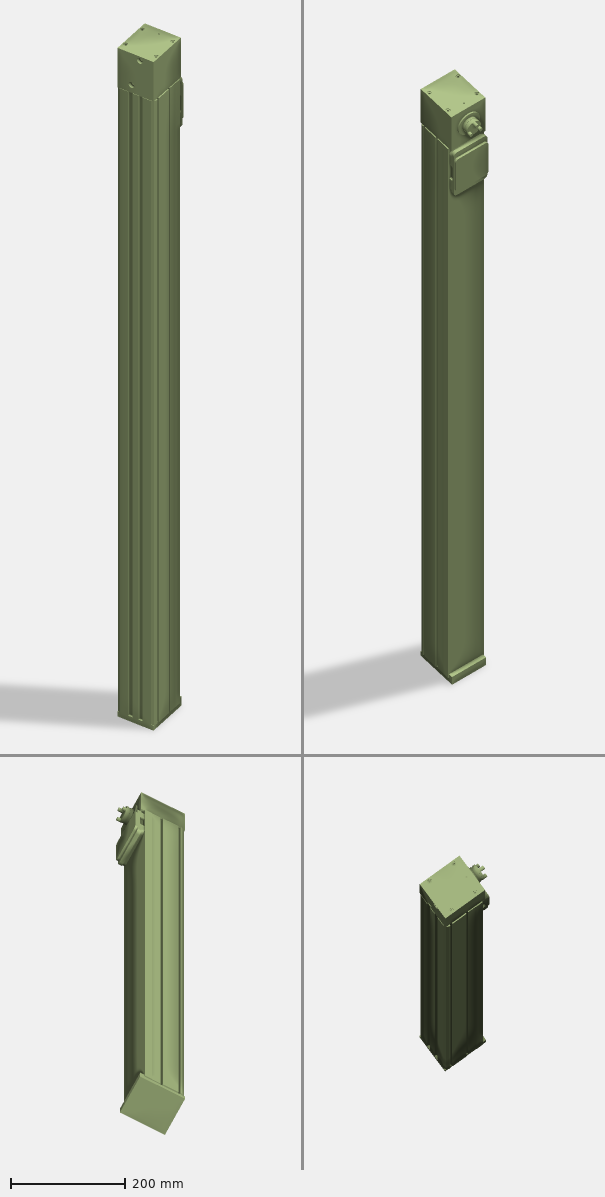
import cadquery as cq
import math

TOTAL_HEIGHT = 1460.0
TOP_Z = TOTAL_HEIGHT / 2
BOTTOM_Z = -TOTAL_HEIGHT / 2
PROFILE_SIDE = 80.0
HALF_SIDE = PROFILE_SIDE / 2
OVERALL_DEPTH = 112.0
HEAD_HEIGHT = 86.0
CAP_HEIGHT = 11.0
PROFILE_BOTTOM_Z = BOTTOM_Z + CAP_HEIGHT
PROFILE_TOP_Z = TOP_Z - HEAD_HEIGHT
END_WIDTH = 76.0
TOP_PIN_TIP_Y = OVERALL_DEPTH - HALF_SIDE

FRONT_GROOVE_INNER_X = 6.5
FRONT_GROOVE_WIDTH = 9.0
FRONT_GROOVE_DEPTH = 5.0
CORNER_LENGTH = 7.0
CORNER_MIDDLE_INSET = 2.2
SIDE_GROOVE_WIDTH = 5.0
SIDE_GROOVE_DEPTH = 5.0
FRONT_SIDE_GROOVE_Y = -28.0
MIDDLE_SIDE_GROOVE_Y = 7.0
SIDE_INSET = 0.6
REAR_RIB_WIDTH = 13.0

HEAD_FRONT_Y = -40.0
HEAD_BACK_Y = 47.0
HEAD_MIDDLE_Y = (HEAD_FRONT_Y + HEAD_BACK_Y) / 2
FITTINGS_DROP = 40.0
FITTINGS_Z = TOP_Z - FITTINGS_DROP
TOP_SCREW_SPACING_X = 64.0
TOP_SCREW_SPACING_Y = 53.0
TOP_SCREW_DIAMETER = 8.5
TOP_SOCKET_DIAMETER = 4.0
FRONT_SCREW_SPACING_X = 18.0
FRONT_SCREW_SPACING_Z = 60.0
FRONT_SCREW_DIAMETER = 12.0
FRONT_SOCKET_DIAMETER = 6.1
TOP_SCREW_RECESS = 1.0
FRONT_SCREW_RECESS = 6.0
SOCKET_DEPTH = 3.0
VENT_INSET = 12.4
VENT_DIAMETER = 3.2
VENT_DEPTH = 1.0

CAP_LIP_THICKNESS = 9.0
CAP_BACK_Y = HALF_SIDE + CAP_LIP_THICKNESS
CAP_LIP_RISE = 9.0

FLANGE_DIAMETER = 48.0
FLANGE_THICKNESS = 3.0
BARREL_DIAMETER = 30.0
BARREL_END_Y = 63.0
NECK_DIAMETER = 29.0
ROOT_COLLAR_LENGTH = 5.1
NECK_END_Y = 58.0
PIN_COUNT = 3
PIN_DIAMETER = 7.0
PIN_CIRCLE_RADIUS = 12.4
LOWER_PIN_SHORTENING = 3.0

MODULE_WIDTH = 75.0
MODULE_MIDDLE_Z = 585.0
FOOT_HEIGHT = 100.0
FOOT_THICKNESS = 6.0
PLATE_HEIGHT = 110.0
PLATE_THICKNESS = 7.0
CORNER_RADIUS = 7.0
COVER_WIDTH = 73.0
COVER_HEIGHT = 83.0
COVER_THICKNESS = 5.0
NOTCH_HEIGHT = 36.0
NOTCH_REACH = 9.0
NOTCH_DEPTH = 5.0
NOTCH_RADIUS = 3.0


def box_between(x_range, y_range, z_range):
    """Box given by its lower and upper limits along each axis."""
    low, high = zip(x_range, y_range, z_range)
    sizes = [upper - lower for lower, upper in zip(low, high)]
    return cq.Workplane("XY").box(*sizes, centered=False).translate(low)


def rod_along_y(diameter, start_y, end_y, x, z):
    """Round rod parallel to Y between two Y positions."""
    rod = cq.Solid.makeCylinder(diameter / 2, end_y - start_y, cq.Vector(x, start_y, z), cq.Vector(0, 1, 0))
    return cq.Workplane(obj=rod)


def rod_down(diameter, depth, x, y):
    """Round rod reaching down from the top of the head."""
    rod = cq.Solid.makeCylinder(diameter / 2, depth, cq.Vector(x, y, TOP_Z), cq.Vector(0, 0, -1))
    return cq.Workplane(obj=rod)


def make_profile():
    """Extruded square section with grooves in its front and sides."""
    groove_outer_x = FRONT_GROOVE_INNER_X + FRONT_GROOVE_WIDTH
    groove_floor_y = -HALF_SIDE + FRONT_GROOVE_DEPTH
    corner_middle = HALF_SIDE - CORNER_MIDDLE_INSET
    half_groove = SIDE_GROOVE_WIDTH / 2
    side_floor_x = HALF_SIDE - SIDE_GROOVE_DEPTH
    inset_x = HALF_SIDE - SIDE_INSET
    rear_rib_y = HALF_SIDE - REAR_RIB_WIDTH
    half_section = [
        (0, -HALF_SIDE),
        (FRONT_GROOVE_INNER_X, -HALF_SIDE),
        (FRONT_GROOVE_INNER_X, groove_floor_y),
        (groove_outer_x, groove_floor_y),
        (groove_outer_x, -HALF_SIDE),
        (HALF_SIDE - CORNER_LENGTH, -HALF_SIDE),
        (corner_middle, -corner_middle),
        (HALF_SIDE, -HALF_SIDE + CORNER_LENGTH),
        (HALF_SIDE, FRONT_SIDE_GROOVE_Y - half_groove),
        (side_floor_x, FRONT_SIDE_GROOVE_Y - half_groove),
        (side_floor_x, FRONT_SIDE_GROOVE_Y + half_groove),
        (HALF_SIDE, FRONT_SIDE_GROOVE_Y + half_groove),
        (HALF_SIDE, MIDDLE_SIDE_GROOVE_Y - half_groove),
        (side_floor_x, MIDDLE_SIDE_GROOVE_Y - half_groove),
        (side_floor_x, MIDDLE_SIDE_GROOVE_Y + half_groove),
        (inset_x, MIDDLE_SIDE_GROOVE_Y + half_groove),
        (inset_x, rear_rib_y),
        (HALF_SIDE, rear_rib_y),
        (HALF_SIDE, HALF_SIDE),
        (0, HALF_SIDE),
    ]
    section = cq.Workplane("XY", origin=(0, 0, PROFILE_BOTTOM_Z)).polyline(half_section).mirrorY()
    return section.extrude(PROFILE_TOP_Z - PROFILE_BOTTOM_Z)


def make_head():
    """Top housing with socket screws in its top and front and a small vent on top."""
    half_width = END_WIDTH / 2
    head = box_between((-half_width, half_width), (HEAD_FRONT_Y, HEAD_BACK_Y), (PROFILE_TOP_Z, TOP_Z))
    for side_x in (-1, 1):
        for side_y in (-1, 1):
            x = side_x * TOP_SCREW_SPACING_X / 2
            y = HEAD_MIDDLE_Y + side_y * TOP_SCREW_SPACING_Y / 2
            head = head.cut(rod_down(TOP_SCREW_DIAMETER, TOP_SCREW_RECESS, x, y))
            head = head.cut(rod_down(TOP_SOCKET_DIAMETER, TOP_SCREW_RECESS + SOCKET_DEPTH, x, y))
    for side in (-1, 1):
        x = side * FRONT_SCREW_SPACING_X / 2
        z = FITTINGS_Z + side * FRONT_SCREW_SPACING_Z / 2
        recess_y = HEAD_FRONT_Y + FRONT_SCREW_RECESS
        socket_y = recess_y + SOCKET_DEPTH
        head = head.cut(rod_along_y(FRONT_SCREW_DIAMETER, HEAD_FRONT_Y, recess_y, x, z))
        head = head.cut(rod_along_y(FRONT_SOCKET_DIAMETER, HEAD_FRONT_Y, socket_y, x, z))
    return head.cut(rod_down(VENT_DIAMETER, VENT_DEPTH, 0, HEAD_BACK_Y - VENT_INSET))


def make_cap():
    """Bottom plate with a lip standing up behind the profile."""
    x_range = (-END_WIDTH / 2, END_WIDTH / 2)
    plate = box_between(x_range, (-HALF_SIDE, CAP_BACK_Y), (BOTTOM_Z, PROFILE_BOTTOM_Z))
    lip_top_z = PROFILE_BOTTOM_Z + CAP_LIP_RISE
    lip = box_between(x_range, (HALF_SIDE, CAP_BACK_Y), (PROFILE_BOTTOM_Z, lip_top_z))
    return plate.union(lip).clean()


def make_connector():
    """Flanged round socket on the back of the head, with a ring of pins."""
    flange_end_y = HEAD_BACK_Y + FLANGE_THICKNESS
    neck_start_y = flange_end_y + ROOT_COLLAR_LENGTH
    stages = [
        (FLANGE_DIAMETER, HEAD_BACK_Y, flange_end_y),
        (BARREL_DIAMETER, flange_end_y, neck_start_y),
        (NECK_DIAMETER, neck_start_y, NECK_END_Y),
        (BARREL_DIAMETER, NECK_END_Y, BARREL_END_Y),
    ]
    connector = cq.Workplane("XY")
    for diameter, start_y, end_y in stages:
        connector = connector.union(rod_along_y(diameter, start_y, end_y, 0, FITTINGS_Z))
    for index in range(PIN_COUNT):
        angle = math.pi / 2 + index * 2 * math.pi / PIN_COUNT
        x = PIN_CIRCLE_RADIUS * math.cos(angle)
        z = FITTINGS_Z + PIN_CIRCLE_RADIUS * math.sin(angle)
        tip_y = TOP_PIN_TIP_Y if index == 0 else TOP_PIN_TIP_Y - LOWER_PIN_SHORTENING
        connector = connector.union(rod_along_y(PIN_DIAMETER, BARREL_END_Y, tip_y, x, z))
    return connector


def module_layer(width, height, start_y, thickness):
    """One layer of the module with rounded corners."""
    layer = cq.Workplane("XY").box(width, thickness, height, centered=(True, False, True))
    return layer.translate((0, start_y, MODULE_MIDDLE_Z)).edges("|Y").fillet(CORNER_RADIUS)


def make_module():
    """Layered module on the back of the profile, notched at both sides."""
    plate_y = HALF_SIDE + FOOT_THICKNESS
    cover_y = plate_y + PLATE_THICKNESS
    module = module_layer(MODULE_WIDTH, FOOT_HEIGHT, HALF_SIDE, FOOT_THICKNESS)
    module = module.union(module_layer(MODULE_WIDTH, PLATE_HEIGHT, plate_y, PLATE_THICKNESS))
    module = module.union(module_layer(COVER_WIDTH, COVER_HEIGHT, cover_y, COVER_THICKNESS))
    notch_width = 2 * NOTCH_DEPTH
    notch_block = cq.Workplane("XY").box(notch_width, NOTCH_REACH, NOTCH_HEIGHT, centered=(True, False, True))
    notch_block = notch_block.faces(">Y").edges("|X").fillet(NOTCH_RADIUS)
    for side in (-1, 1):
        module = module.cut(notch_block.translate((side * MODULE_WIDTH / 2, HALF_SIDE, MODULE_MIDDLE_Z)))
    return module


profile = make_profile()
head = make_head()
cap = make_cap()
connector = make_connector()
module = make_module()

result = cq.Compound.makeCompound([profile.val(), head.val(), cap.val(), connector.val(), module.val()])